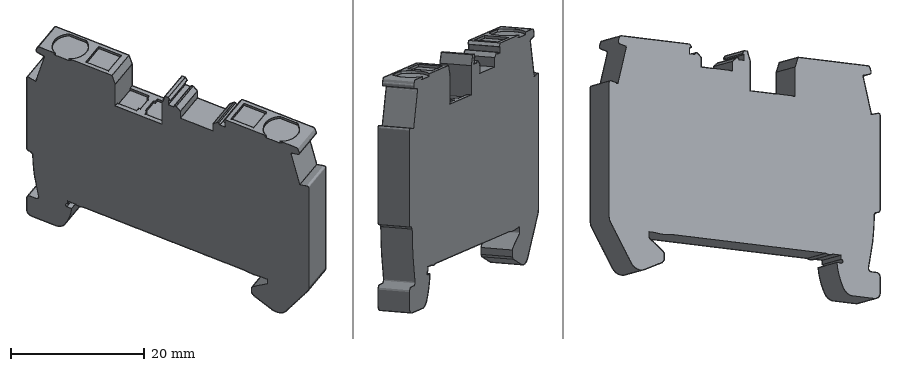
import cadquery as cq
import math

length = 48.8
thickness = 5.15
height = 35.4

shoulder_z = 28.35
shoulder_radius = 0.35
neck_low = (1.58, 28.05)
neck_high = (3.04, 33.55)
neck_corner_middle = (3.02, 33.83)
neck_corner_end = (2.82, 33.92)
nose_under = (2.0, 34.1)
nose_tip = (1.65, 34.4)
nose_side_low = (1.72, 34.75)
nose_side_high = (1.85, 35.1)
nose_edge_middle = (2.0, height - 0.09)
nose_top = (2.3, height)

slot_left_x = 15.33
slot_right_x = 23.37
slot_floor_z = height - 6.0
slot_bevel_width = 0.55
slot_bevel_height = 1.55

marker_x = 29.4
marker_floor_z = height - 3.28
marker_half_floor = 2.8
marker_half_width = 4.9
marker_bevel_z = height - 1.85
marker_ledge_z = height - 1.5
rib_top_z = height - 1.2
rib_outer_half = 4.03
rib_top_outer_half = 3.8
rib_top_inner_half = 3.55
catch_half = 4.55
catch_tip_z = height - 0.5
catch_under_z = height - 0.6

rail_z = 6.0
pad_drop = 0.14
left_pad = (8.5, 9.8)
right_pad = (37.7, 40.6)

step_z = 13.2
step_radius = 0.5
step_corner = (0.75, 13.15)
flank_top = (1.05, 12.8)
flank_bow = (1.16, 10.6)
flank_bend = (1.37, 8.5)
flank_low = (2.08, 4.7)
crotch_middle = (2.02, 4.25)
crotch_end_x = 1.65

heel_radius = 1.0
heel_top_z = 4.03
heel_top_radius = 0.7
sole_end_x = 5.2
sole_corner_middle = (6.1, 0.4)
hook_low = (6.7, 1.15)
hook_middle = (7.45, 3.0)
hook_tip_x = 7.8
hook_z = 4.8
undercut_start_x = 6.95
undercut_middle = (6.75, 5.0)
undercut_top_z = 5.35
hook_wall_x = 7.05

knee_top_z = 7.6
knee_middle = (length - 0.08, 7.1)
knee_low = (length - 0.3, 6.65)
toe_x = 43.15
toe_radius = 2.0
toe_outer_slope = 57.5
toe_inner_slope = 25.5
tip_x = 38.86
tip_low_z = 1.95
tip_high_z = 3.0
tip_low_corner = (39.3, 1.5)
tip_high_corner = (39.1, 3.3)
ramp_bend = (40.05, 4.0)
ramp_top = (41.3, 4.85)
ramp_corner_middle = (41.52, 5.0)
inner_wall_x = 41.6
inner_wall_low_z = 5.25

pocket_depth = 0.4
round_x = 6.17
round_y = 2.45
round_radius = 2.72
round_flat_y = 4.72
square_x = 11.85
square_y = thickness / 2
square_size = 3.9
key_y = thickness / 2
key_length = 3.3
key_width = 3.75
key_tab_length = 0.3
key_tab_width = 2.5


def mirrored(points):
    """Mirror outline points about the middle of the part, reversing their order."""
    return [(length - x, z) for x, z in reversed(points)]


def marker_side(sign):
    """One wall of the marker recess, from the top edge down to the floor."""
    steps = [
        (marker_half_width, height),
        (catch_half, catch_tip_z),
        (marker_half_width, catch_under_z),
        (marker_half_width, marker_ledge_z),
        (rib_outer_half, marker_ledge_z),
        (rib_top_outer_half, rib_top_z),
        (rib_top_inner_half, rib_top_z),
        (marker_half_floor, marker_bevel_z),
        (marker_half_floor, marker_floor_z),
    ]
    return [(marker_x + sign * half, z) for half, z in steps]


def add_lines(outline, points):
    """Run straight lines through the given points."""
    for point in points:
        outline = outline.lineTo(*point)
    return outline


def add_stretches(outline, stretches):
    """Run a line to each stretch, then follow its arc if it has three points."""
    for stretch in stretches:
        outline = outline.lineTo(*stretch[0])
        if len(stretch) > 1:
            outline = outline.threePointArc(*stretch[1:])
    return outline


def add_pad(outline, span):
    """Shallow convex pad on the underside between two X positions."""
    middle = (span[0] + span[1]) / 2
    outline = outline.lineTo(span[0], rail_z)
    return outline.threePointArc((middle, rail_z - pad_drop), (span[1], rail_z))


def add_top(outline):
    """Top edge, from the left shoulder to the right shoulder."""
    lip_inset = shoulder_radius * (1 - math.sqrt(0.5))
    wall_top = (0, shoulder_z - shoulder_radius)
    lip_middle = (lip_inset, shoulder_z - lip_inset)
    lip_end = (shoulder_radius, shoulder_z)
    slot = [
        (slot_left_x - slot_bevel_width, height),
        (slot_left_x, height - slot_bevel_height),
        (slot_left_x, slot_floor_z),
        (slot_right_x, slot_floor_z),
        (slot_right_x, height - slot_bevel_height),
        (slot_right_x + slot_bevel_width, height),
    ]
    left_end = [
        (wall_top, lip_middle, lip_end),
        (neck_low,),
        (neck_high, neck_corner_middle, neck_corner_end),
        (nose_under, nose_tip, nose_side_low),
        (nose_side_high, nose_edge_middle, nose_top),
    ]
    right_end = [mirrored(stretch) for stretch in reversed(left_end)]
    outline = add_stretches(outline, left_end)
    outline = add_lines(outline, slot)
    outline = add_lines(outline, marker_side(-1))
    outline = add_lines(outline, reversed(marker_side(1)))
    return add_stretches(outline, right_end)


def toe_point(slope):
    """Point of the right toe's round where its tangent has the given slope angle."""
    angle = math.radians(slope)
    return (toe_x + toe_radius * math.sin(angle), toe_radius * (1 - math.cos(angle)))


def add_right_foot(outline):
    """Slanted right foot, from the right wall to the inner wall under the rail seat."""
    stretches = [
        ((length, knee_top_z), knee_middle, knee_low),
        (toe_point(toe_outer_slope), toe_point(0), toe_point(-toe_inner_slope)),
        (tip_low_corner,),
        ((tip_x, tip_low_z),),
        ((tip_x, tip_high_z),),
        (tip_high_corner,),
        (ramp_bend,),
        (ramp_top, ramp_corner_middle, (inner_wall_x, inner_wall_low_z)),
        ((inner_wall_x, rail_z),),
    ]
    return add_stretches(outline, stretches)


def add_left_foot(outline):
    """Hooked left foot, from the rail seat round to the top of the heel."""
    outline = outline.lineTo(hook_wall_x, rail_z)
    outline = outline.lineTo(hook_wall_x, undercut_top_z)
    outline = outline.threePointArc(undercut_middle, (undercut_start_x, hook_z))
    outline = outline.lineTo(hook_tip_x, hook_z)
    outline = outline.threePointArc(hook_middle, hook_low)
    outline = outline.threePointArc(sole_corner_middle, (sole_end_x, 0))
    outline = outline.lineTo(heel_radius, 0)
    outline = outline.radiusArc((0, heel_radius), heel_radius)
    outline = outline.lineTo(0, heel_top_z - heel_top_radius)
    return outline.radiusArc((heel_top_radius, heel_top_z), heel_top_radius)


def add_left_flank(outline):
    """Left side, from the top of the heel up to the straight wall."""
    outline = outline.lineTo(crotch_end_x, heel_top_z)
    outline = outline.threePointArc(crotch_middle, flank_low)
    outline = outline.lineTo(*flank_bend)
    outline = outline.threePointArc(flank_bow, flank_top)
    outline = outline.lineTo(*step_corner)
    outline = outline.lineTo(step_radius, step_z)
    return outline.radiusArc((0, step_z + step_radius), step_radius)


def make_body():
    """Plate with the complete outline, before the pockets are cut."""
    outline = cq.Workplane("XZ").moveTo(0, step_z + step_radius)
    outline = add_top(outline)
    outline = add_right_foot(outline)
    outline = add_pad(outline, right_pad[::-1])
    outline = add_pad(outline, left_pad[::-1])
    outline = add_left_foot(outline)
    outline = add_left_flank(outline)
    return outline.close().extrude(-thickness)


def box_pocket(x, y, size_x, size_y, top_z):
    """Cutter for a shallow rectangular pocket sunk from top_z."""
    tool = cq.Workplane("XY", origin=(x, y, top_z))
    return tool.rect(size_x, size_y).extrude(-pocket_depth)


def round_pocket(x):
    """Round pocket cut off flat on the +Y side and open through the -Y face."""
    disc = cq.Workplane("XY", origin=(x, round_y, height))
    disc = disc.circle(round_radius).extrude(-pocket_depth)
    limit = box_pocket(x, round_flat_y - round_radius, 2 * round_radius, 2 * round_radius, height)
    return disc.intersect(limit)


def key_pocket(wall_x, sign):
    """Rectangular pocket against a slot wall, with a narrower tab pointing into the slot."""
    main_x = wall_x + sign * key_length / 2
    full_length = key_length + key_tab_length
    tab_x = wall_x + sign * full_length / 2
    main = box_pocket(main_x, key_y, key_length, key_width, slot_floor_z)
    return main.union(box_pocket(tab_x, key_y, full_length, key_tab_width, slot_floor_z))


result = make_body()
for x in (round_x, length - round_x):
    result = result.cut(round_pocket(x))
for x in (square_x, length - square_x):
    result = result.cut(box_pocket(x, square_y, square_size, square_size, height))
result = result.cut(key_pocket(slot_left_x, 1))
result = result.cut(key_pocket(slot_right_x, -1))